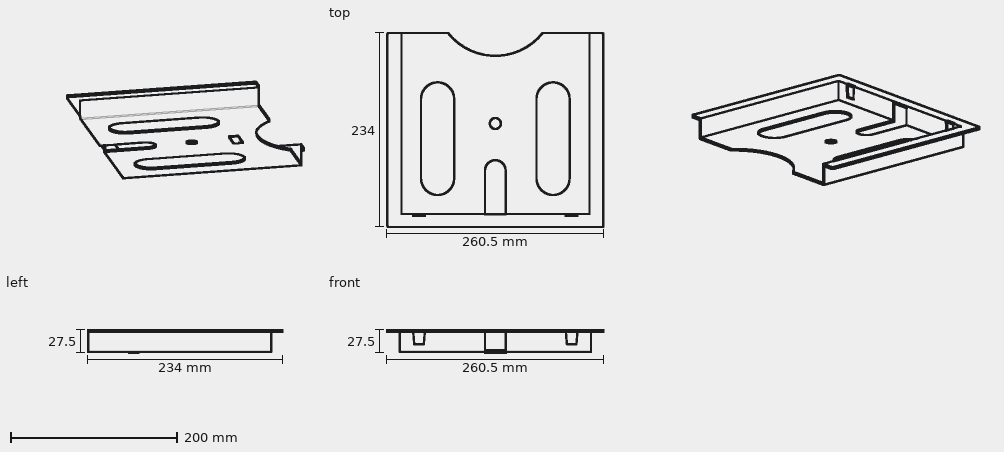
import cadquery as cq

rim_width = 260.5
rim_depth = 234.0
rim_thickness = 2.5
rim_corner_radius = 2.0
tray_height = 26.5
pad_height = 1.0

wall_thickness = 2.0
floor_thickness = 2.3
bend_radius = 1.3
side_overhang = 14.8
front_overhang = 13.5

hand_slot_width = 39.5
hand_slot_length = 135.5
hand_slot_spacing = 139.0
hand_slot_y = -10.5
hole_diameter = 13.0
hole_y = 7.8
scallop_width = 114.0
scallop_depth = 27.5

front_slot_width = 24.5
front_slot_end_y = -36.5

notch_spacing = 183.8
notch_top_width = 14.0
notch_bottom_width = 11.2
notch_depth = 17.0

pad_width = 25.3
pad_length = 11.5
pad_from_back = 54.7

back_y = rim_depth / 2
front_y = -back_y
tray_front_y = front_y + front_overhang
tray_width = rim_width - 2 * side_overhang
tray_depth = back_y - tray_front_y
inner_width = tray_width - 2 * wall_thickness
inner_depth = tray_depth - wall_thickness
floor_top_z = floor_thickness - tray_height
front_slot_height = tray_height - rim_thickness


def block_from_back(width, depth, bottom_z, height):
    """Centred block whose rear face lies on the open back of the part."""
    return (
        cq.Workplane("XY", origin=(0, back_y - depth / 2, bottom_z))
        .box(width, depth, height, centered=(True, True, False))
    )


def rim_and_tray():
    rim = block_from_back(rim_width, rim_depth, -rim_thickness, rim_thickness)
    rim = rim.edges("|Z").fillet(rim_corner_radius)
    tray = block_from_back(tray_width, tray_depth, -tray_height, tray_height)
    tray = tray.faces("<Z").edges("<X or >X or <Y").fillet(bend_radius)
    cavity = block_from_back(inner_width, inner_depth, floor_top_z, -floor_top_z)
    return rim.union(tray).cut(cavity)


def floor_plane():
    return cq.Workplane("XY", origin=(0, 0, -tray_height))


def hand_slots():
    half_spacing = hand_slot_spacing / 2
    return (
        floor_plane()
        .pushPoints([(-half_spacing, hand_slot_y), (half_spacing, hand_slot_y)])
        .slot2D(hand_slot_length, hand_slot_width, 90)
        .extrude(floor_thickness)
    )


def hole():
    return floor_plane().center(0, hole_y).circle(hole_diameter / 2).extrude(floor_thickness)


def scallop():
    half_width = scallop_width / 2
    return (
        floor_plane()
        .moveTo(-half_width, back_y)
        .threePointArc((0, back_y - scallop_depth), (half_width, back_y))
        .close()
        .extrude(floor_thickness)
    )


def front_slot():
    half_width = front_slot_width / 2
    arc_start_y = front_slot_end_y - half_width
    return (
        floor_plane()
        .moveTo(-half_width, tray_front_y)
        .lineTo(-half_width, arc_start_y)
        .threePointArc((0, front_slot_end_y), (half_width, arc_start_y))
        .lineTo(half_width, tray_front_y)
        .close()
        .extrude(front_slot_height)
    )


def notch(center_x):
    half_top = notch_top_width / 2
    half_bottom = notch_bottom_width / 2
    return (
        cq.Workplane("XZ", origin=(center_x, tray_front_y, 0))
        .polyline([
            (-half_top, 0),
            (half_top, 0),
            (half_bottom, -notch_depth),
            (-half_bottom, -notch_depth),
        ])
        .close()
        .extrude(-wall_thickness)
    )


def pad():
    return (
        cq.Workplane("XY", origin=(0, back_y - pad_from_back, -tray_height - pad_height))
        .box(pad_width, pad_length, pad_height, centered=(True, True, False))
    )


result = rim_and_tray().cut(hand_slots()).cut(hole()).cut(scallop()).cut(front_slot())
for side in (-1, 1):
    result = result.cut(notch(side * notch_spacing / 2))
result = result.union(pad())